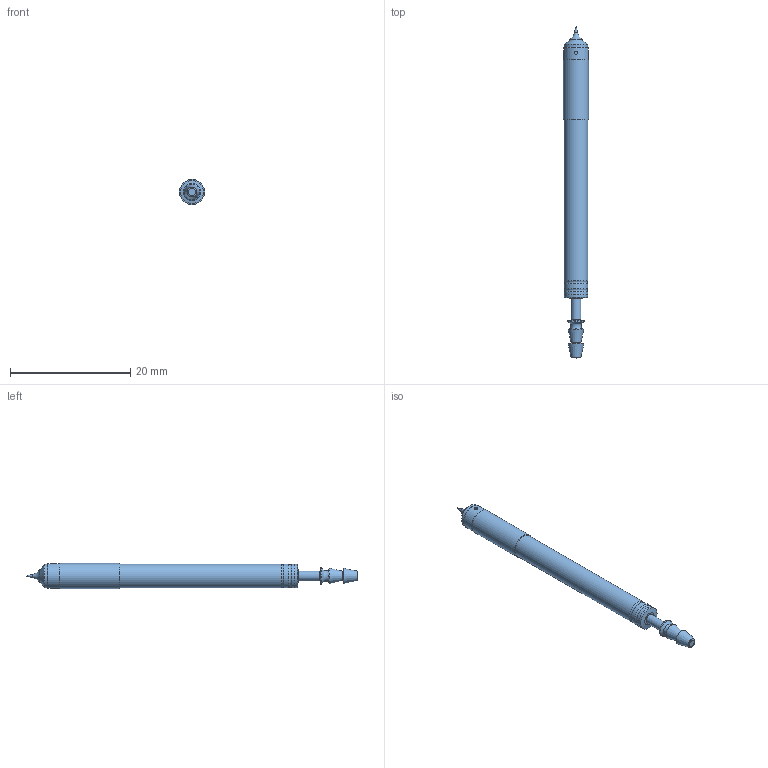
import cadquery as cq

overall_length = 55.2

needle_radius = 0.27
needle_length = 1.1
flare_radius = 1.1
flare_end = 2.25

nose_neck_radius = 0.9
nose_cone_start = 2.3
nose_cone_end = 3.05
nose_radius = 1.95
nose_land_end = 3.5

collar_radius = 2.06
collar_start = 3.65
sleeve_radius = 2.1
sleeve_start = 5.55
sleeve_length = 10.0
sleeve_end = sleeve_start + sleeve_length

dimple_radius = 0.28
dimple_depth = 0.1
dimple_station = 4.45

barrel_radius = 1.95
groove_starts = (42.4, 43.72)
groove_width = 0.48
groove_depth = 0.08
lip_start = 44.72
lip_end = 45.1
lip_radius = 1.93

crown_radius = 1.1
crown_end = 45.25
rod_radius = 0.8

flange_radius = 1.45
flange_bevel_start = 48.85
flange_rim_start = 49.0
flange_rim_end = 49.15
neck_start = 49.5
neck_end_radius = 0.95
neck_waist_radius = 0.87
barb_base_starts = (50.3, 52.65)
barb_bevel_length = 0.15
barb_root_radius = 1.3
barb_tip_radius = 0.8
nipple_chamfer_length = 0.08
nipple_chamfer_radius = 0.58
barb_ends = (barb_base_starts[1], overall_length - nipple_chamfer_length)


def at(radius, station):
    """Profile point: radius along X, station measured back from the tip."""
    return (radius, overall_length - station)


def add_groove(profile, start):
    """Run the profile along the barrel and through one rounded groove."""
    middle = at(barrel_radius - groove_depth, start + groove_width / 2)
    end = at(barrel_radius, start + groove_width)
    return profile.lineTo(*at(barrel_radius, start)).threePointArc(middle, end)


def add_neck(profile):
    """Run the profile along the concave neck ahead of the first barb."""
    start = at(neck_end_radius, neck_start)
    waist = at(neck_waist_radius, (neck_start + barb_base_starts[0]) / 2)
    end = at(neck_end_radius, barb_base_starts[0])
    return profile.lineTo(*start).threePointArc(waist, end)


def add_barb(profile, base_start, end):
    """Bevel out to the barb shoulder, then taper back to the rear."""
    shoulder = at(barb_root_radius, base_start + barb_bevel_length)
    return profile.lineTo(*shoulder).lineTo(*at(barb_tip_radius, end))


def turned_body():
    """Solid of revolution from the needle point to the end of the nipple."""
    profile = cq.Workplane("XY").moveTo(*at(0, 0)).lineTo(*at(needle_radius, needle_length))
    profile = profile.tangentArcPoint(at(flare_radius, flare_end), relative=False)
    front_points = [
        (nose_neck_radius, nose_cone_start),
        (nose_radius, nose_cone_end),
        (nose_radius, nose_land_end),
        (collar_radius, collar_start),
        (collar_radius, sleeve_start),
        (sleeve_radius, sleeve_start),
        (sleeve_radius, sleeve_end),
        (barrel_radius, sleeve_end),
    ]
    for radius, station in front_points:
        profile = profile.lineTo(*at(radius, station))
    for start in groove_starts:
        profile = add_groove(profile, start)
    rear_points = [
        (barrel_radius, lip_start),
        (lip_radius, lip_end),
        (crown_radius, crown_end),
        (rod_radius, crown_end),
        (rod_radius, flange_bevel_start),
        (flange_radius, flange_rim_start),
        (flange_radius, flange_rim_end),
    ]
    for radius, station in rear_points:
        profile = profile.lineTo(*at(radius, station))
    profile = add_neck(profile)
    for base_start, end in zip(barb_base_starts, barb_ends):
        profile = add_barb(profile, base_start, end)
    profile = profile.lineTo(*at(nipple_chamfer_radius, overall_length))
    profile = profile.lineTo(*at(0, overall_length)).close()
    return profile.revolve(360, (0, 0, 0), (0, 1, 0))


def index_dimple():
    """Cutter for the blind dimple, entering the collar from above."""
    _, dimple_y = at(0, dimple_station)
    floor = cq.Workplane("XY", origin=(0, dimple_y, collar_radius - dimple_depth))
    return floor.circle(dimple_radius).extrude(2 * dimple_depth)


result = turned_body().cut(index_dimple())